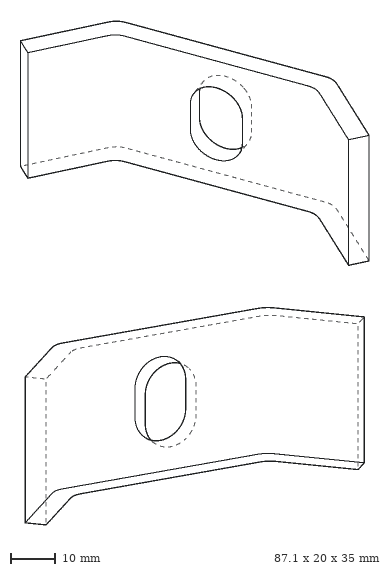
import cadquery as cq
import math

length = 87.1
depth = 20.0
height = 35.0
thickness = 5.0
bend_radius = thickness
leg_angle = 45.0
slot_width = 13.0
slot_height = 20.0

angle = math.radians(leg_angle)
tip_x = length / 2
tip_y = thickness * math.cos(angle) - depth
end_x = tip_x - thickness * math.sin(angle)
outer_corner_x = tip_x + tip_y / math.tan(angle)
inner_corner_x = outer_corner_x - thickness * math.tan(angle / 2)

right_half = [
    (outer_corner_x, 0),
    (tip_x, tip_y),
    (end_x, -depth),
    (inner_corner_x, -thickness),
]
left_half = [(-x, y) for x, y in reversed(right_half)]


def bent_strip():
    """Flat web with two angled legs and rounded bends."""
    strip = cq.Workplane("XY").polyline(right_half + left_half).close().extrude(height)
    for corner_x, corner_y in ((outer_corner_x, 0), (inner_corner_x, -thickness)):
        for side in (-1, 1):
            corner = (side * corner_x, corner_y, height / 2)
            strip = strip.edges(cq.selectors.NearestToPointSelector(corner)).fillet(bend_radius)
    return strip


def slot_cutter():
    """Upright slot through the middle of the web."""
    return (
        cq.Workplane("XZ")
        .center(0, height / 2)
        .slot2D(slot_height, slot_width, 90)
        .extrude(depth)
    )


result = bent_strip().cut(slot_cutter())